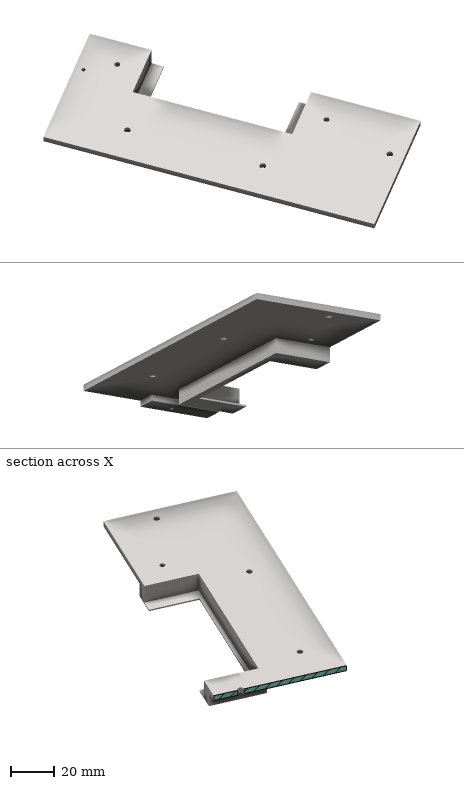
import cadquery as cq

length = 161.5
width = 65.7
height = 10.3

plate_thickness = 3.0

notch_left = 30.2
notch_length = 77.8
notch_depth = 26.8
frame_side_wall = 6.3
frame_front_wall = 1.8

lip_thickness = 0.8
lip_side_width = 6.0
lip_front_width = 2.0

pad_length = 10.8
pad_width = 35.5
pad_thickness = 2.9

small_hole_diameter = 2.0
small_holes = [(4.4, 21.5)]
medium_hole_diameter = 2.7
rear_hole_setback = 13.4
medium_holes = [(18.1, rear_hole_setback), (120.1, rear_hole_setback)]
large_hole_diameter = 3.0
front_hole_setback = 49.2
large_holes = [(35.4, front_hole_setback), (101.4, front_hole_setback), (154.5, 23.5)]


def rear_box(left, box_length, box_width, top, thickness):
    """Box whose rear face lies on the rear edge of the plate."""
    corner = (left, width - box_width, top - thickness)
    return cq.Workplane("XY").box(box_length, box_width, thickness, centered=False).translate(corner)


def through_holes(places, diameter):
    """Vertical cylinders spanning the full height."""
    points = [(x, width - setback) for x, setback in places]
    return cq.Workplane("XY").pushPoints(points).circle(diameter / 2).extrude(-height)


plate = rear_box(0, length, width, 0, plate_thickness)
frame = rear_box(
    notch_left - frame_side_wall,
    notch_length + 2 * frame_side_wall,
    notch_depth + frame_front_wall,
    -plate_thickness,
    height - plate_thickness,
)
pad = rear_box(0, pad_length, pad_width, -plate_thickness, pad_thickness)
result = plate.union(frame).union(pad)

notch = rear_box(notch_left, notch_length, notch_depth, 0, height - lip_thickness)
opening = rear_box(
    notch_left + lip_side_width,
    notch_length - 2 * lip_side_width,
    notch_depth - lip_front_width,
    0,
    height,
)
result = result.cut(notch).cut(opening)

result = result.cut(through_holes(small_holes, small_hole_diameter))
result = result.cut(through_holes(medium_holes, medium_hole_diameter))
result = result.cut(through_holes(large_holes, large_hole_diameter))